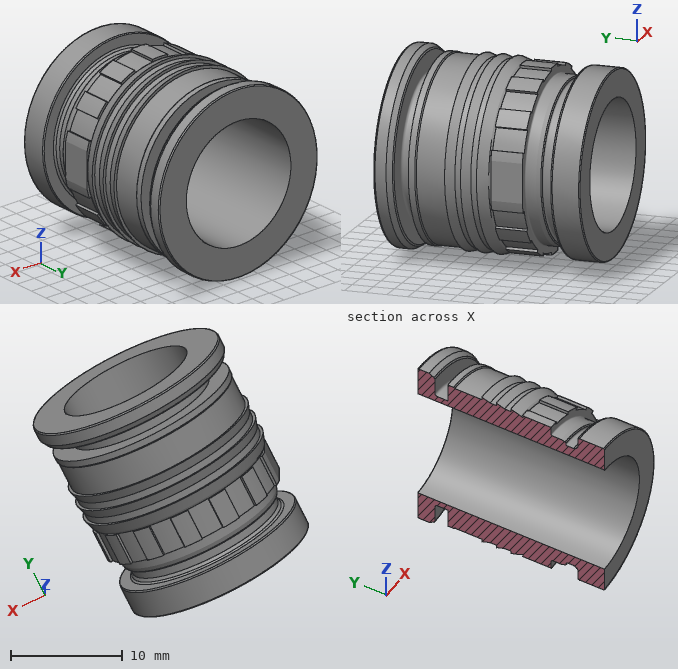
import cadquery as cq
import math

LENGTH = 19.4
BORE_RADIUS = 6.1

FLANGE_RADIUS = 9.25
FLANGE_END = 1.8
FLANGE_REAR_BEVEL = (0.15, 0.08)
FLANGE_TAPER = (0.5, 0.3)
FLANGE_TIP = (0.1, 0.15)

NECK_RADIUS = 6.78
NECK_FILLET = 0.24

BARREL_START = 3.13
BAND_RADIUS = 8.75
BAND_END = 3.74
BAND_BEVEL = 0.12
BARREL_RADIUS = 8.66

RIB_COUNT = 3
RIB_START = 6.65
RIB_PITCH = 1.51
RIB_TIP_RADIUS = 8.95
RIB_SLOPE_LENGTH = 0.87
LAST_RIB_END = 10.7
LAST_RIB_BEVEL = 0.14

GRIP_START = 10.88
GRIP_END = 13.87
GRIP_RADIUS = 8.72
GRIP_ROOT_RADIUS = 8.46
GRIP_FLAT_DISTANCE = 8.52
TOOTH_COUNT = 14
TOOTH_ANGLE = 11.6

SHOULDER_RADIUS = 7.74
SHOULDER_FILLET = 0.12
SHOULDER_TAPER_START = 14.92
SHOULDER_TAPER_DROP = 0.12
SHOULDER_END = 15.4
SHOULDER_TIP = 0.1

GROOVE_RADIUS = 7.26
GROOVE_REAR_FILLET = 0.12
GROOVE_FRONT_START = 16.2
GROOVE_FRONT_FLARE = (0.29, 0.17)
GROOVE_FRONT_TIP = (0.14, 0.2)

COLLAR_RADIUS = 8.76
COLLAR_REAR_BEVEL = (0.16, 0.06)
COLLAR_FRONT_BEVEL = 0.1
COLLAR_START = GROOVE_FRONT_START + GROOVE_FRONT_FLARE[0] + GROOVE_FRONT_TIP[0]

ARC_MIDPOINT = 1 - math.sqrt(0.5)


def place(radius, depth):
    """Sketch point at a given radius and distance from the rear face."""
    return radius, LENGTH - depth


def root_fillet_after_wall(sketch, radius, wall_depth, size):
    """Concave fillet from a wall at wall_depth onto the cylinder in front of it."""
    offset = size * ARC_MIDPOINT
    sketch = sketch.lineTo(*place(radius + size, wall_depth))
    return sketch.threePointArc(
        place(radius + offset, wall_depth + offset),
        place(radius, wall_depth + size),
    )


def draw_flange(sketch):
    rear_axial, rear_radial = FLANGE_REAR_BEVEL
    taper_axial, taper_radial = FLANGE_TAPER
    tip_axial, tip_radial = FLANGE_TIP
    taper_end = FLANGE_END - tip_axial
    taper_end_radius = FLANGE_RADIUS - taper_radial
    sketch = sketch.lineTo(*place(FLANGE_RADIUS - rear_radial, 0))
    sketch = sketch.lineTo(*place(FLANGE_RADIUS, rear_axial))
    sketch = sketch.lineTo(*place(FLANGE_RADIUS, taper_end - taper_axial))
    sketch = sketch.lineTo(*place(taper_end_radius, taper_end))
    return sketch.lineTo(*place(taper_end_radius - tip_radial, FLANGE_END))


def draw_neck_and_barrel(sketch):
    sketch = root_fillet_after_wall(sketch, NECK_RADIUS, FLANGE_END, NECK_FILLET)
    sketch = sketch.lineTo(*place(NECK_RADIUS, BARREL_START))
    sketch = sketch.lineTo(*place(BAND_RADIUS, BARREL_START))
    sketch = sketch.lineTo(*place(BAND_RADIUS, BAND_END))
    return sketch.lineTo(*place(BARREL_RADIUS, BAND_END + BAND_BEVEL))


def draw_ribs(sketch):
    """Ribs step up sharply at the rear and slope down forwards; the last slopes on to the grip."""
    slope = (RIB_TIP_RADIUS - BARREL_RADIUS) / RIB_SLOPE_LENGTH
    for index in range(RIB_COUNT):
        start = RIB_START + index * RIB_PITCH
        is_last = index == RIB_COUNT - 1
        end = LAST_RIB_END if is_last else start + RIB_SLOPE_LENGTH
        end_radius = RIB_TIP_RADIUS - slope * (end - start)
        sketch = sketch.lineTo(*place(BARREL_RADIUS, start))
        sketch = sketch.lineTo(*place(RIB_TIP_RADIUS, start))
        sketch = sketch.lineTo(*place(end_radius, end))
    return sketch.lineTo(*place(end_radius - LAST_RIB_BEVEL, GRIP_START))


def draw_shoulder_and_groove(sketch):
    """Outline from the core inside the grip section forward to the collar's rear face."""
    taper_end_radius = SHOULDER_RADIUS - SHOULDER_TAPER_DROP
    sketch = sketch.lineTo(*place(SHOULDER_RADIUS + SHOULDER_FILLET, GRIP_START))
    sketch = root_fillet_after_wall(sketch, SHOULDER_RADIUS, GRIP_END, SHOULDER_FILLET)
    sketch = sketch.lineTo(*place(SHOULDER_RADIUS, SHOULDER_TAPER_START))
    sketch = sketch.lineTo(*place(taper_end_radius, SHOULDER_END - SHOULDER_TIP))
    sketch = sketch.lineTo(*place(taper_end_radius - SHOULDER_TIP, SHOULDER_END))
    sketch = root_fillet_after_wall(sketch, GROOVE_RADIUS, SHOULDER_END, GROOVE_REAR_FILLET)
    flare_axial, flare_radial = GROOVE_FRONT_FLARE
    tip_axial, tip_radial = GROOVE_FRONT_TIP
    flare_end_radius = GROOVE_RADIUS + flare_radial
    sketch = sketch.lineTo(*place(GROOVE_RADIUS, GROOVE_FRONT_START))
    sketch = sketch.lineTo(*place(flare_end_radius, COLLAR_START - tip_axial))
    return sketch.lineTo(*place(flare_end_radius + tip_radial, COLLAR_START))


def draw_collar(sketch):
    rear_axial, rear_radial = COLLAR_REAR_BEVEL
    sketch = sketch.lineTo(*place(COLLAR_RADIUS - rear_radial, COLLAR_START))
    sketch = sketch.lineTo(*place(COLLAR_RADIUS, COLLAR_START + rear_axial))
    sketch = sketch.lineTo(*place(COLLAR_RADIUS, LENGTH - COLLAR_FRONT_BEVEL))
    return sketch.lineTo(*place(COLLAR_RADIUS - COLLAR_FRONT_BEVEL, LENGTH))


def make_turned_body():
    sketch = cq.Workplane("XY").moveTo(*place(BORE_RADIUS, 0))
    sketch = draw_flange(sketch)
    sketch = draw_neck_and_barrel(sketch)
    sketch = draw_ribs(sketch)
    sketch = draw_shoulder_and_groove(sketch)
    sketch = draw_collar(sketch)
    sketch = sketch.lineTo(*place(BORE_RADIUS, LENGTH)).close()
    return sketch.revolve(360, (0, 0, 0), (0, 1, 0))


def grip_ring(outer_radius, inner_radius):
    """Ring spanning the grip section, open through the middle."""
    plane = cq.Workplane("XZ", origin=(0, LENGTH - GRIP_START, 0))
    return plane.circle(outer_radius).circle(inner_radius).extrude(GRIP_END - GRIP_START)


def make_gap_cutter(angle_from_z):
    """Wedge with radial sides between two teeth, centred at angle_from_z degrees."""
    half_gap = (360 / TOOTH_COUNT - TOOTH_ANGLE) / 2
    reach = 2 * GRIP_RADIUS
    corners = [(0, 0)]
    for side in (-half_gap, half_gap):
        angle = math.radians(angle_from_z + side)
        corners.append((reach * math.sin(angle), reach * math.cos(angle)))
    plane = cq.Workplane("XZ", origin=(0, LENGTH - GRIP_START, 0))
    wedge = plane.polyline(corners).close().extrude(GRIP_END - GRIP_START)
    return wedge.intersect(grip_ring(reach, GRIP_ROOT_RADIUS))


def make_grip():
    """Splined ring with a tooth on the Z axis and a flat on each X side."""
    grip = grip_ring(GRIP_RADIUS, BORE_RADIUS)
    pitch = 360 / TOOTH_COUNT
    for index in range(TOOTH_COUNT):
        angle = (index + 0.5) * pitch
        is_on_x_axis = abs(math.cos(math.radians(angle))) < math.sin(math.radians(pitch / 4))
        if not is_on_x_axis:
            grip = grip.cut(make_gap_cutter(angle))
    width = 2 * GRIP_FLAT_DISTANCE
    flats = cq.Workplane("XY").box(width, 2 * LENGTH, 2 * FLANGE_RADIUS)
    return grip.intersect(flats)


result = make_turned_body().union(make_grip())